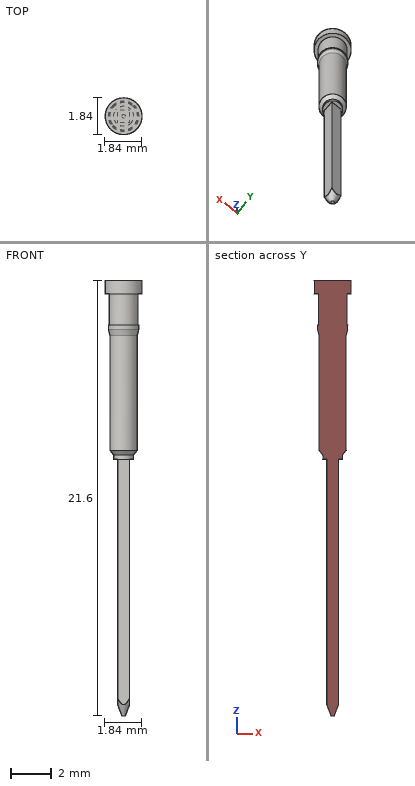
import cadquery as cq

total_length = 21.62

head_diameter = 1.84
head_height = 0.67
neck_diameter = 1.45
neck_length = 1.55
ring_diameter = 1.51
ring_height = 0.22
ring_taper_height = 0.3
barrel_diameter = 1.36
barrel_length = 5.69
shoulder_height = 0.24
collar_diameter = 1.0
collar_height = 0.22

pin_width = 0.6
tip_diameter = 0.17
point_slope = 0.38

head_bottom = total_length - head_height
neck_bottom = head_bottom - neck_length
ring_bottom = neck_bottom - ring_height
barrel_top = ring_bottom - ring_taper_height
barrel_bottom = barrel_top - barrel_length
collar_top = barrel_bottom - shoulder_height
collar_bottom = collar_top - collar_height


def turned(half_profile):
    """Solid of revolution about Z from (radius, height) points, with its seam on the -X side."""
    seam_points = [(-radius, height) for radius, height in half_profile]
    return cq.Workplane("XZ").polyline(seam_points).close().revolve(360, (0, 0), (0, 1))


def round_body():
    """Head, neck, ring, barrel and collar turned as one profile."""
    half_profile = [
        (0, collar_bottom),
        (collar_diameter / 2, collar_bottom),
        (collar_diameter / 2, collar_top),
        (barrel_diameter / 2, barrel_bottom),
        (barrel_diameter / 2, barrel_top),
        (ring_diameter / 2, ring_bottom),
        (ring_diameter / 2, neck_bottom),
        (neck_diameter / 2, neck_bottom),
        (neck_diameter / 2, head_bottom),
        (head_diameter / 2, head_bottom),
        (head_diameter / 2, total_length),
        (0, total_length),
    ]
    return turned(half_profile)


def pointed_pin():
    """Square bar whose lower end is trimmed to a blunt cone."""
    bar = cq.Workplane("XY").rect(pin_width, pin_width).extrude(collar_bottom)
    tip_radius = tip_diameter / 2
    clear_radius = pin_width
    cone_height = (clear_radius - tip_radius) / point_slope
    envelope_profile = [
        (0, 0),
        (tip_radius, 0),
        (clear_radius, cone_height),
        (clear_radius, collar_bottom),
        (0, collar_bottom),
    ]
    return bar.intersect(turned(envelope_profile))


result = round_body().union(pointed_pin())